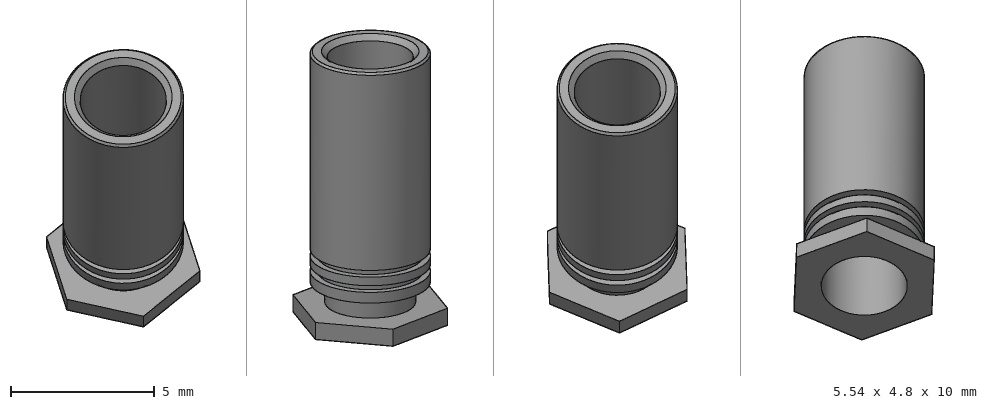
import cadquery as cq
import math

total_height = 10.0
hex_across_flats = 4.8
hex_height = 0.64

body_diameter = 4.2
groove_diameter = 3.69
neck_diameter = 3.18
bore_diameter = 3.0
bore_mouth_diameter = 3.4

neck_top = 1.4
groove_height = 0.25
groove_bottoms = (1.8, 2.37)

outer_chamfer = 0.08
bore_chamfer = (bore_mouth_diameter - bore_diameter) / 2


def cylinder(diameter, bottom, top):
    """Upright cylinder on the Z axis between two heights."""
    return cq.Workplane("XY").workplane(offset=bottom).circle(diameter / 2).extrude(top - bottom)


hex_across_corners = hex_across_flats / math.cos(math.radians(30))
base = cq.Workplane("XY").polygon(6, hex_across_corners).extrude(hex_height)

neck = cylinder(neck_diameter, 0, neck_top)
sleeve = cylinder(body_diameter, neck_top, total_height).faces(">Z").chamfer(outer_chamfer)

for bottom in groove_bottoms:
    top = bottom + groove_height
    ring = cylinder(body_diameter, bottom, top).cut(cylinder(groove_diameter, bottom, top))
    sleeve = sleeve.cut(ring)

bore = cylinder(bore_diameter, 0, total_height)
mouth = (
    cq.Workplane("XY")
    .workplane(offset=total_height - bore_chamfer)
    .circle(bore_diameter / 2)
    .workplane(offset=bore_chamfer)
    .circle(bore_mouth_diameter / 2)
    .loft()
)

result = base.union(neck).union(sleeve).cut(bore).cut(mouth)